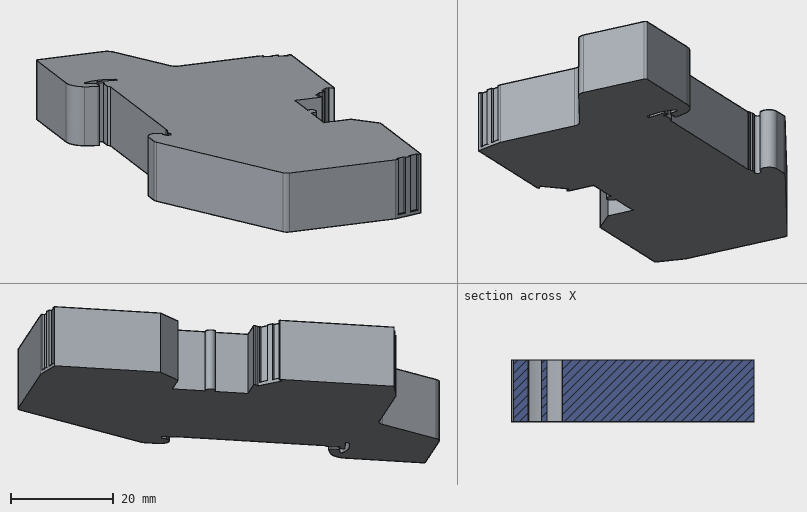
import cadquery as cq
import math

LENGTH = 84.6
HEIGHT = 47.3
THICKNESS = 12.1

BODY_LEFT = 14.0
SHOULDER_Y = 41.35
SHOULDER_INSET = 1.6
FLANK_ANGLE = math.radians(30)
FOOT_TOP_Y = 23.4
FOOT_FILLET = 2.0
FOOT_CORNER_FILLET = 0.5
RIGHT_FLANK_START = 56.5
RIGHT_CORNER_FILLET = 1.3
RIGHT_FLANK_FILLET = 1.5

NOTCH_CENTER_X = 50.1
NOTCH_WIDTH = 15.0
NOTCH_FLOOR_Y = 37.2
NOTCH_CHAMFER = 4.4
BUMP_RADIUS = 1.0
BUMP_HEIGHT = 1.4

LABEL_GROOVE_LENGTH = 5.6
LABEL_GROOVE_DEPTH = 1.05
POCKET_LENGTH = 1.8
POCKET_SPACING = 3.0
POCKET_DEPTH = 0.5
POCKET_FLOOR_Z = 0.7

RAIL_Y = 7.1
RAIL_LEFT = 21.2
RAIL_RIGHT = 50.7
RAIL_STEP = 0.45

HEEL_RADIUS = 4.0
HEEL_START_X = 15.6
HEEL_SWEEP = math.radians(67)
LEFT_HOOK_TOP_Y = 5.35
LEFT_HOOK_NOSE_X = 20.15
LEFT_HOOK_BACK_X = 17.95
LEFT_HOOK_ROUND = 0.45
SLOT_BOTTOM_X = 17.25
SLOT_BOTTOM_Y = 3.3
SLOT_TOP_X = 17.4
SLOT_TOP_Y = 9.95
SLOT_BULGE_X = 16.4
SLOT_END_HALF_WIDTH = 0.3
SLOT_END_DEPTH = 0.2
TAB_LEFT = 17.1
TAB_RIGHT = 18.2
TAB_BOTTOM_Y = 5.87
RELIEF_WIDTH = 0.5

RIGHT_HOOK_BOTTOM_Y = 2.1
RIGHT_HOOK_RADIUS = 1.8
RIGHT_HOOK_CENTER_X = 53.4
RIGHT_HOOK_NOSE_ANGLE = math.radians(125)
RAIL_POCKET_RADIUS = 0.7
RAIL_POCKET_X = 52.9
RAIL_POCKET_Y = 6.2
RIGHT_LIP_START = 51.8
RIGHT_LIP_END = 52.3

NOTCH_LEFT = NOTCH_CENTER_X - NOTCH_WIDTH / 2
NOTCH_RIGHT = NOTCH_CENTER_X + NOTCH_WIDTH / 2
CHAMFER_Y = HEIGHT - NOTCH_CHAMFER
FOOT_CORNER_Y = FOOT_TOP_Y - BODY_LEFT * math.tan(FLANK_ANGLE)
RIGHT_CORNER_Y = RIGHT_HOOK_BOTTOM_Y + (LENGTH - RIGHT_FLANK_START) * math.tan(FLANK_ANGLE)


def heel_point(sweep):
    """Point on the heel arc after turning by the given angle from the underside."""
    return (
        HEEL_START_X + HEEL_RADIUS * math.sin(sweep),
        HEEL_RADIUS * (1 - math.cos(sweep)),
    )


def left_hook(outline):
    """Hook with the curved spring slot behind it, ending on the rail face."""
    lip_y = RAIL_Y - RAIL_STEP
    relief_y = lip_y + RAIL_STEP / 2
    slot_middle_y = (SLOT_BOTTOM_Y + SLOT_TOP_Y) / 2
    slot_bottom_side_y = SLOT_BOTTOM_Y + SLOT_END_DEPTH
    slot_top_side_y = SLOT_TOP_Y - SLOT_END_DEPTH
    hook_side_y = LEFT_HOOK_TOP_Y - LEFT_HOOK_ROUND
    return (
        outline.lineTo(HEEL_START_X, 0)
        .threePointArc(heel_point(HEEL_SWEEP / 2), heel_point(HEEL_SWEEP))
        .lineTo(LEFT_HOOK_NOSE_X, hook_side_y)
        .tangentArcPoint((LEFT_HOOK_NOSE_X - LEFT_HOOK_ROUND, LEFT_HOOK_TOP_Y), relative=False)
        .lineTo(LEFT_HOOK_BACK_X + LEFT_HOOK_ROUND, LEFT_HOOK_TOP_Y)
        .tangentArcPoint((LEFT_HOOK_BACK_X, hook_side_y), relative=False)
        .lineTo(SLOT_BOTTOM_X + SLOT_END_HALF_WIDTH, slot_bottom_side_y)
        .threePointArc(
            (SLOT_BOTTOM_X, SLOT_BOTTOM_Y),
            (SLOT_BOTTOM_X - SLOT_END_HALF_WIDTH, slot_bottom_side_y),
        )
        .threePointArc((SLOT_BULGE_X, slot_middle_y), (SLOT_TOP_X - SLOT_END_HALF_WIDTH, slot_top_side_y))
        .threePointArc((SLOT_TOP_X, SLOT_TOP_Y), (SLOT_TOP_X + SLOT_END_HALF_WIDTH, slot_top_side_y))
        .lineTo(TAB_LEFT, TAB_BOTTOM_Y)
        .lineTo(TAB_RIGHT, TAB_BOTTOM_Y)
        .lineTo(TAB_RIGHT, relief_y)
        .lineTo(TAB_RIGHT + RELIEF_WIDTH, relief_y)
        .lineTo(TAB_RIGHT + RELIEF_WIDTH, lip_y)
        .lineTo(RAIL_LEFT - RAIL_STEP, lip_y)
        .lineTo(RAIL_LEFT, RAIL_Y)
    )


def right_hook(outline):
    """Round rail pocket and the fixed hook below it, ending on the hook underside."""
    lip_y = RAIL_Y - RAIL_STEP
    ledge_y = lip_y + RAIL_STEP / 2
    center_y = RIGHT_HOOK_BOTTOM_Y + RIGHT_HOOK_RADIUS
    nose_end = (
        RIGHT_HOOK_CENTER_X + RIGHT_HOOK_RADIUS * math.cos(RIGHT_HOOK_NOSE_ANGLE),
        center_y + RIGHT_HOOK_RADIUS * math.sin(RIGHT_HOOK_NOSE_ANGLE),
    )
    return (
        outline.lineTo(RAIL_RIGHT, RAIL_Y)
        .lineTo(RAIL_RIGHT, ledge_y)
        .lineTo(RIGHT_LIP_START - RAIL_STEP, ledge_y)
        .lineTo(RIGHT_LIP_START, lip_y)
        .lineTo(RIGHT_LIP_END, lip_y)
        .lineTo(RAIL_POCKET_X, RAIL_POCKET_Y + RAIL_POCKET_RADIUS)
        .threePointArc(
            (RAIL_POCKET_X + RAIL_POCKET_RADIUS, RAIL_POCKET_Y),
            (RAIL_POCKET_X, RAIL_POCKET_Y - RAIL_POCKET_RADIUS),
        )
        .lineTo(*nose_end)
        .threePointArc(
            (RIGHT_HOOK_CENTER_X - RIGHT_HOOK_RADIUS, center_y),
            (RIGHT_HOOK_CENTER_X, RIGHT_HOOK_BOTTOM_Y),
        )
    )


def housing():
    """Full-thickness body bounded by the outline of the terminal block."""
    bump_side_y = NOTCH_FLOOR_Y + BUMP_HEIGHT - BUMP_RADIUS
    outline = cq.Workplane("XY").moveTo(0, 0)
    outline = right_hook(left_hook(outline))
    outline = (
        outline.lineTo(RIGHT_FLANK_START, RIGHT_HOOK_BOTTOM_Y)
        .lineTo(LENGTH, RIGHT_CORNER_Y)
        .lineTo(LENGTH, SHOULDER_Y)
        .lineTo(LENGTH - SHOULDER_INSET, HEIGHT)
        .lineTo(NOTCH_RIGHT + NOTCH_CHAMFER, HEIGHT)
        .lineTo(NOTCH_RIGHT, CHAMFER_Y)
        .lineTo(NOTCH_RIGHT, NOTCH_FLOOR_Y)
        .lineTo(NOTCH_CENTER_X + BUMP_RADIUS, NOTCH_FLOOR_Y)
        .lineTo(NOTCH_CENTER_X + BUMP_RADIUS, bump_side_y)
        .threePointArc(
            (NOTCH_CENTER_X, NOTCH_FLOOR_Y + BUMP_HEIGHT),
            (NOTCH_CENTER_X - BUMP_RADIUS, bump_side_y),
        )
        .lineTo(NOTCH_CENTER_X - BUMP_RADIUS, NOTCH_FLOOR_Y)
        .lineTo(NOTCH_LEFT, NOTCH_FLOOR_Y)
        .lineTo(NOTCH_LEFT, CHAMFER_Y)
        .lineTo(NOTCH_LEFT - NOTCH_CHAMFER, HEIGHT)
        .lineTo(BODY_LEFT + SHOULDER_INSET, HEIGHT)
        .lineTo(BODY_LEFT, SHOULDER_Y)
        .lineTo(BODY_LEFT, FOOT_TOP_Y)
        .lineTo(0, FOOT_CORNER_Y)
        .close()
    )
    return outline.extrude(THICKNESS)


def fillet_upright(body, x, y, radius):
    """Round the edge parallel to Z that stands nearest to (x, y)."""
    nearest = cq.selectors.NearestToPointSelector((x, y, THICKNESS / 2))
    return body.edges("|Z").edges(nearest).fillet(radius)


def seat_cut(start, end, along, length, depth, floor_z):
    """Slab sunk into the face from start to end, centred at a distance along from its middle."""
    angle = math.degrees(math.atan2(end[1] - start[1], end[0] - start[0]))
    middle = ((start[0] + end[0]) / 2, (start[1] + end[1]) / 2, floor_z)
    return (
        cq.Workplane("XY")
        .center(along, 0)
        .rect(length, 2 * depth)
        .extrude(THICKNESS - floor_z)
        .rotate((0, 0, 0), (0, 0, 1), angle)
        .translate(middle)
    )


def cut_pocket_pair(body, start, end, depth):
    """Two marker pockets, open at the top side, sunk into one slanted face."""
    for along in (-POCKET_SPACING / 2, POCKET_SPACING / 2):
        body = body.cut(seat_cut(start, end, along, POCKET_LENGTH, depth, POCKET_FLOOR_Z))
    return body


left_shoulder = ((BODY_LEFT, SHOULDER_Y), (BODY_LEFT + SHOULDER_INSET, HEIGHT))
right_shoulder = ((LENGTH, SHOULDER_Y), (LENGTH - SHOULDER_INSET, HEIGHT))
label_chamfer = ((NOTCH_LEFT, CHAMFER_Y), (NOTCH_LEFT - NOTCH_CHAMFER, HEIGHT))

block = housing()
block = fillet_upright(block, 0, 0, FOOT_CORNER_FILLET)
block = fillet_upright(block, 0, FOOT_CORNER_Y, FOOT_FILLET)
block = fillet_upright(block, BODY_LEFT, FOOT_TOP_Y, FOOT_FILLET)
block = fillet_upright(block, LENGTH, RIGHT_CORNER_Y, RIGHT_CORNER_FILLET)
block = fillet_upright(block, RIGHT_FLANK_START, RIGHT_HOOK_BOTTOM_Y, RIGHT_FLANK_FILLET)

block = block.cut(seat_cut(*label_chamfer, 0, LABEL_GROOVE_LENGTH, LABEL_GROOVE_DEPTH, 0))
block = cut_pocket_pair(block, *label_chamfer, LABEL_GROOVE_DEPTH + POCKET_DEPTH)
block = cut_pocket_pair(block, *left_shoulder, POCKET_DEPTH)
block = cut_pocket_pair(block, *right_shoulder, POCKET_DEPTH)

result = block